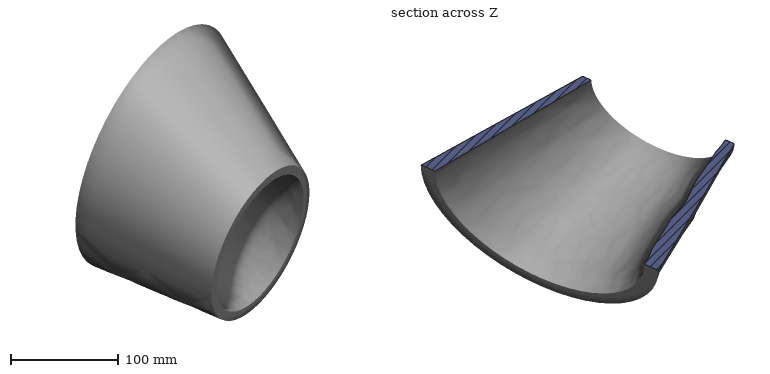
import cadquery as cq

length = 155.0
large_diameter = 250.0
small_diameter = 160.0
large_wall = 14.8
small_wall = 9.5

small_end_offset = -(large_diameter - small_diameter) / 2


def eccentric_cone(large_end_diameter, small_end_diameter):
    """Solid lofted between the circles at the two ends of the reducer."""
    return (
        cq.Workplane("YZ")
        .circle(large_end_diameter / 2)
        .workplane(offset=length)
        .center(small_end_offset, 0)
        .circle(small_end_diameter / 2)
        .loft(ruled=True, combine=True)
    )


outside = eccentric_cone(large_diameter, small_diameter)
bore = eccentric_cone(large_diameter - 2 * large_wall, small_diameter - 2 * small_wall)

result = outside.cut(bore)